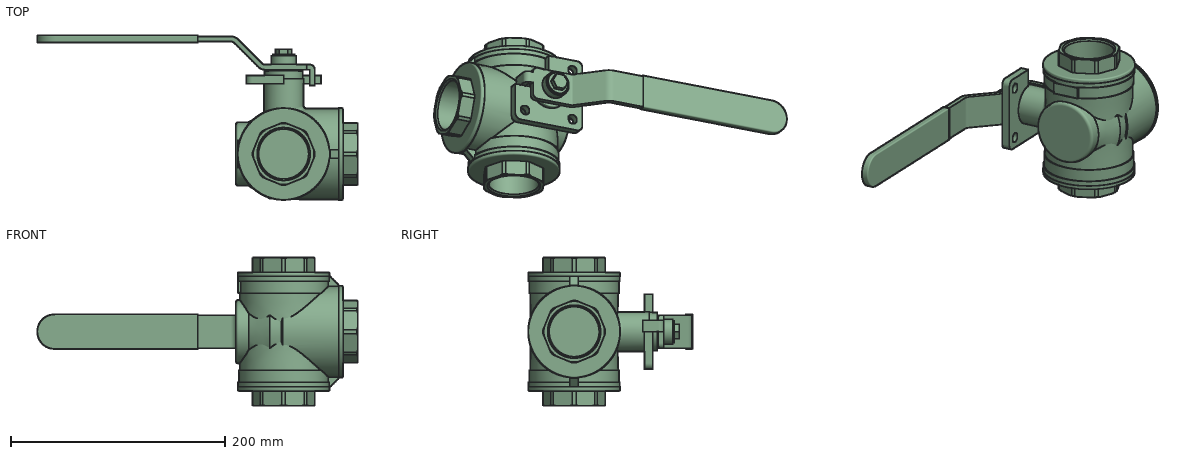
import math

import cadquery as cq


port_reach = 69.25
cap_face = 55.4
cap_seat = 51.5
cap_radius = 43.0
cap_round = 1.5
octagon_flats = 55.0
octagon_corner_radius = 29.1
octagon_chamfer = 0.8
bore_radius = 23.3
bore_depth = 23.5
bore_chamfer = 1.5

barrel_radius = 42.5
waist_radius = 41.6
waist_start = -13.0
waist_end = -2.0
waist_step = 1.0
boss_face = -44.75
boss_radius = 29.8
boss_round = 2.7
boss_root = -32.7

neck_mid_radius = 40.4
neck_end_radius = 41.2
band_radius = 41.9
band_start = 35.9
rim_start = 47.1
rim_radius = 42.7
pad_face = -42.7
pad_width = 25.3
pad_margin = 0.5

rib_thickness = 7.8
rib_drop = 8.0

housing_radius = 18.55
housing_top = 70.3
gland_radius = 18.0
gland_top = 77.6
gland_round = 0.6
shoulder_radius = 14.0
housing_root_fillet = 3.0

plate_side = 70.0
plate_bottom = 65.5
plate_top = 73.4
plate_corner = 5.5
plate_hole_diameter = 9.0
plate_hole_circle = 70.0

blade_thickness = 5.0
blade_width = 31.0
blade_low = 78.6
grip_top = 110.85
grip_thickness = 7.0
grip_width = 32.5
grip_tip = -230.0
grip_end = -80.0
grip_edge_round = 1.2
low_bend_x = -21.0
high_bend_radius = 5.0
low_bend_radius = 3.0
tab_outer_face = 29.2
tab_bottom = 63.8
tab_width = 10.7
narrowing_x = 21.5
narrowing_round = 4.7

collar_radius = 11.8
collar_top = 91.8
washer_radius = 10.4
washer_top = 93.2
nut_corners = 15.6
nut_top = 97.9


def disc_y(radius, bottom, top):
    """Cylinder on the Y axis between two heights."""
    return cq.Workplane("XZ", origin=(0, bottom, 0)).circle(radius).extrude(bottom - top)


def box_between(x, y, z):
    """Box given by its (low, high) range along each axis."""
    size = [high - low for low, high in (x, y, z)]
    return cq.Workplane("XY").box(*size, centered=False).translate((x[0], y[0], z[0]))


def port_along_z():
    """Round cap with an octagonal end, pointing along +Z."""
    cap = cq.Workplane("XY").workplane(offset=cap_seat).circle(cap_radius).extrude(cap_face - cap_seat)
    cap = cap.faces(">Z").edges().fillet(cap_round)
    octagon_length = port_reach - cap_seat
    octagon = (
        cq.Workplane("XY")
        .workplane(offset=cap_seat)
        .polygon(8, octagon_flats / math.cos(math.pi / 8))
        .extrude(octagon_length)
    )
    corner_trim = (
        cq.Workplane("XY")
        .workplane(offset=cap_seat)
        .circle(octagon_corner_radius)
        .extrude(octagon_length)
        .faces(">Z")
        .chamfer(octagon_chamfer)
    )
    return cap.union(octagon.intersect(corner_trim))


def bore_along_z():
    """Blind bore with a chamfered mouth, entering from +Z."""
    floor = port_reach - bore_depth
    return (
        cq.Workplane("XZ")
        .moveTo(0, floor)
        .lineTo(bore_radius, floor)
        .lineTo(bore_radius, port_reach - bore_chamfer)
        .lineTo(bore_radius + bore_chamfer, port_reach)
        .lineTo(0, port_reach)
        .close()
        .revolve(360, (0, 0, 0), (0, 1, 0))
    )


def at_three_ports(shape):
    """The +Z shape together with its copies on -Z and +X."""
    below = shape.mirror("XY")
    beside = shape.rotate((0, 0, 0), (0, 1, 0), 90)
    return shape, below, beside


def barrel():
    """Body along X: closed boss, flare, waist and full barrel, turned about the X axis."""
    return (
        cq.Workplane("XY")
        .moveTo(boss_face, 0)
        .lineTo(boss_face, boss_radius - boss_round)
        .radiusArc((boss_face + boss_round, boss_radius), boss_round)
        .lineTo(boss_root, boss_radius)
        .lineTo(waist_start, waist_radius)
        .lineTo(waist_end, waist_radius)
        .lineTo(waist_end + waist_step, barrel_radius)
        .lineTo(cap_seat, barrel_radius)
        .lineTo(cap_seat, 0)
        .close()
        .revolve(360, (0, 0, 0), (1, 0, 0))
    )


def upper_neck():
    """Tapered neck with its band and rim along +Z, turned about the Z axis."""
    return (
        cq.Workplane("XZ")
        .lineTo(neck_mid_radius, 0)
        .lineTo(neck_end_radius, band_start)
        .lineTo(band_radius, band_start)
        .lineTo(band_radius, rim_start)
        .lineTo(rim_radius, rim_start)
        .lineTo(rim_radius, cap_seat)
        .lineTo(0, cap_seat)
        .close()
        .revolve(360, (0, 0, 0), (0, 1, 0))
    )


def name_pad():
    """Flat raised pad on the -X side of the upper band."""
    return box_between(
        (pad_face, 0),
        (-pad_width / 2, pad_width / 2),
        (band_start + pad_margin, rim_start),
    )


def upper_rib():
    """Gusset in the XZ plane from the +Z rim down to the +X rim."""
    outer = cap_seat
    inner = cap_seat - rib_drop
    return (
        cq.Workplane("XZ")
        .moveTo(0, 0)
        .lineTo(outer, 0)
        .lineTo(outer, inner)
        .lineTo(inner, outer)
        .lineTo(0, outer)
        .close()
        .extrude(rib_thickness / 2, both=True)
    )


def barrel_with_housing():
    """Barrel and stem housing, blended by a fillet where they meet."""
    root_edges = cq.selectors.BoxSelector(
        (-barrel_radius, boss_radius, -barrel_radius),
        (barrel_radius, barrel_radius + housing_root_fillet, barrel_radius),
    )
    housing = disc_y(housing_radius, 0, housing_top)
    return barrel().union(housing).edges(root_edges).fillet(housing_root_fillet)


def body():
    neck = upper_neck()
    rib = upper_rib()
    shape = barrel_with_housing().union(neck).union(neck.mirror("XY"))
    shape = shape.union(rib).union(rib.mirror("XY"))
    return shape.union(name_pad())


def gland():
    """Slightly narrower ring on the housing, with the stem shoulder that carries the lever."""
    ring = disc_y(gland_radius, housing_top, gland_top).faces(">Y").edges().fillet(gland_round)
    return ring.union(disc_y(shoulder_radius, gland_top, blade_low))


def mounting_plate():
    """Square plate without its +X +Z quarter, which leaves room for the lever tab to swing."""
    half = plate_side / 2
    hole_offset = plate_hole_circle / 2 / math.sqrt(2)
    plate = box_between((-half, half), (plate_bottom, plate_top), (-half, half))
    plate = plate.edges("|Y").fillet(plate_corner)
    plate = plate.cut(box_between((0, half), (plate_bottom, plate_top), (0, half)))
    for x_side, z_side in ((-1, 1), (-1, -1), (1, -1)):
        hole = disc_y(plate_hole_diameter / 2, plate_bottom, plate_top)
        plate = plate.cut(hole.translate((x_side * hole_offset, 0, z_side * hole_offset)))
    return plate


def lever_blade():
    """Bent strip: raised end, 45 degree rise, flat over the stem, and stop tab bent down."""
    low_top = blade_low + blade_thickness
    high_top = grip_top - (grip_thickness - blade_thickness) / 2
    high_low = high_top - blade_thickness
    mitre = blade_thickness * math.tan(math.pi / 8)
    high_bend_x = low_bend_x - (high_low - blade_low)
    tab_inner_face = tab_outer_face - blade_thickness
    half = blade_width / 2
    strip = (
        cq.Workplane("XY")
        .moveTo(grip_end, high_low)
        .lineTo(high_bend_x, high_low)
        .lineTo(low_bend_x, blade_low)
        .lineTo(tab_inner_face, blade_low)
        .lineTo(tab_inner_face, tab_bottom)
        .lineTo(tab_outer_face, tab_bottom)
        .lineTo(tab_outer_face, low_top)
        .lineTo(low_bend_x + mitre, low_top)
        .lineTo(high_bend_x + mitre, high_top)
        .lineTo(grip_end, high_top)
        .close()
        .extrude(half, both=True)
    )
    bends = (
        (high_bend_x, high_low, high_bend_radius),
        (high_bend_x + mitre, high_top, high_bend_radius + blade_thickness),
        (low_bend_x + mitre, low_top, low_bend_radius),
        (low_bend_x, blade_low, low_bend_radius + blade_thickness),
    )
    for x, y, radius in bends:
        bend_edge = cq.selectors.NearestToPointSelector((x, y, 0))
        strip = strip.edges(bend_edge).fillet(radius)
    tab_edge = cq.selectors.NearestToPointSelector((tab_outer_face, low_top, 0))
    strip = strip.edges(tab_edge).fillet(blade_thickness)

    above_tab = box_between((narrowing_x, tab_outer_face), (tab_bottom, low_top), (tab_width, half))
    below_tab = box_between((narrowing_x, tab_outer_face), (tab_bottom, low_top), (-half, 0))
    strip = strip.cut(above_tab).cut(below_tab)
    blade_corners = [(narrowing_x, blade_low + blade_thickness / 2, z) for z in (-half, half)]
    for corner in blade_corners:
        corner_edge = cq.selectors.NearestToPointSelector(corner)
        strip = strip.edges("|Y").edges(corner_edge).fillet(narrowing_round)
    return strip


def grip():
    """Sleeve with a half-round tip and softened edges."""
    half = grip_width / 2
    low = grip_top - grip_thickness
    return (
        cq.Workplane("XZ", origin=(0, low, 0))
        .moveTo(grip_end, -half)
        .lineTo(grip_tip + half, -half)
        .threePointArc((grip_tip, 0), (grip_tip + half, half))
        .lineTo(grip_end, half)
        .close()
        .extrude(-grip_thickness)
        .faces("<Y or >Y")
        .edges("not(|Z)")
        .fillet(grip_edge_round)
    )


def stem_nut():
    collar = disc_y(collar_radius, blade_low, collar_top)
    washer = disc_y(washer_radius, collar_top, washer_top)
    nut = cq.Workplane("XZ", origin=(0, washer_top, 0)).polygon(6, nut_corners).extrude(washer_top - nut_top)
    return collar.union(washer).union(nut)


result = body().union(gland()).union(mounting_plate())
result = result.union(lever_blade()).union(grip()).union(stem_nut())
for port in at_three_ports(port_along_z()):
    result = result.union(port)
for bore in at_three_ports(bore_along_z()):
    result = result.cut(bore)